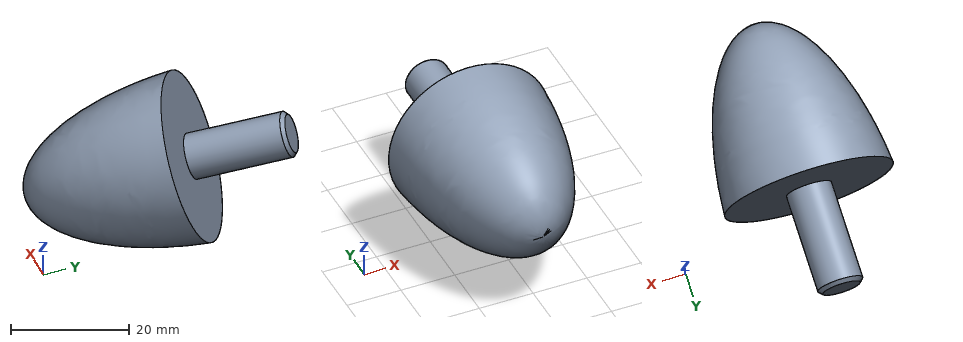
import cadquery as cq
import math

total_length = 48.0
bumper_length = 30.0
bumper_base_radius = bumper_length / 2
stud_diameter = 8.0
stud_end_chamfer = 0.65
ellipse_center_offset = 6.0

stud_length = total_length - bumper_length

ellipse_semi_length = bumper_length + ellipse_center_offset
ellipse_semi_width = bumper_base_radius / math.sqrt(1 - (ellipse_center_offset / ellipse_semi_length) ** 2)
base_angle = math.asin(ellipse_center_offset / ellipse_semi_length)
profile_points = 12


def bumper_side_point(fraction):
    """Point on the elliptical side, from the base rim (0) to the tip (1)."""
    angle = base_angle + fraction * (math.pi / 2 - base_angle)
    radius = ellipse_semi_width * math.cos(angle)
    y = ellipse_center_offset - ellipse_semi_length * math.sin(angle)
    return (radius, y)


def make_bumper():
    """Rounded nose revolved about Y, flat face at Y = 0 and tip toward -Y."""
    side_points = [bumper_side_point(i / profile_points) for i in range(1, profile_points)]
    rim_tangent = (-ellipse_semi_width * math.sin(base_angle), -ellipse_semi_length * math.cos(base_angle))
    tip_tangent = (-1, 0)
    return (
        cq.Workplane("XY")
        .lineTo(bumper_base_radius, 0)
        .spline(
            side_points + [(0, -bumper_length)],
            tangents=[rim_tangent, tip_tangent],
            includeCurrent=True,
        )
        .close()
        .revolve(360, (0, 0, 0), (0, 1, 0))
    )


def make_stud():
    """Round stud standing on the flat face, chamfered at its free end."""
    return (
        cq.Workplane("XZ")
        .circle(stud_diameter / 2)
        .extrude(-stud_length)
        .faces(">Y")
        .chamfer(stud_end_chamfer)
    )


bumper = make_bumper()
stud = make_stud()

result = cq.Compound.makeCompound([bumper.val(), stud.val()])